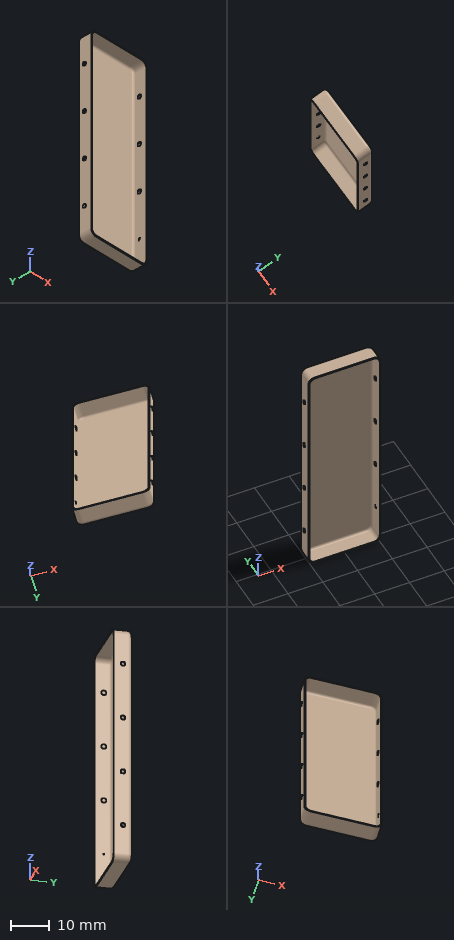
import cadquery as cq
import math

width = 20.9
depth = 5.0
height = 64.9
wall = 0.4
corner_radius = 2.0
floor_edge_radius = 1.1

dimple_count = 4
dimple_pitch = 15.0
dimple_y = -0.05
dimple_mouth_radius = 0.6
dimple_depth = 0.395
bump_base_radius = 0.65
bump_height = 0.2


def rounded_block(inset):
    """Block inset from the tray's outer faces, with its front face on the rim plane."""
    block_depth = depth - inset
    return (
        cq.Workplane("XY")
        .box(width - 2 * inset, block_depth, height - 2 * inset)
        .translate((0, (block_depth - depth) / 2, 0))
        .edges("|Y")
        .fillet(corner_radius - inset)
        .faces(">Y")
        .edges()
        .fillet(floor_edge_radius - inset)
    )


def spherical_cap(base_radius, cap_height, base_x, z):
    """Cap bulging toward +X from a flat disc in the plane x = base_x."""
    sphere_radius = (base_radius**2 + cap_height**2) / (2 * cap_height)
    arc_middle = (
        cap_height - sphere_radius + math.sqrt(sphere_radius**2 - base_radius**2 / 4),
        base_radius / 2,
    )
    return (
        cq.Workplane("XY")
        .moveTo(0, 0)
        .lineTo(0, base_radius)
        .threePointArc(arc_middle, (cap_height, 0))
        .close()
        .revolve(360, (0, 0), (1, 0))
        .translate((base_x, dimple_y, z))
    )


tray = rounded_block(0).cut(rounded_block(wall))

for index in range(dimple_count):
    z = (index - (dimple_count - 1) / 2) * dimple_pitch
    has_bump = index > 0
    for mirrored in (False, True):
        dimple = spherical_cap(dimple_mouth_radius, dimple_depth, -width / 2, z)
        bump = spherical_cap(bump_base_radius, bump_height, wall - width / 2, z)
        if mirrored:
            dimple = dimple.mirror("YZ")
            bump = bump.mirror("YZ")
        if has_bump:
            tray = tray.union(bump)
        tray = tray.cut(dimple)

result = cq.Workplane(tray.solids().val())